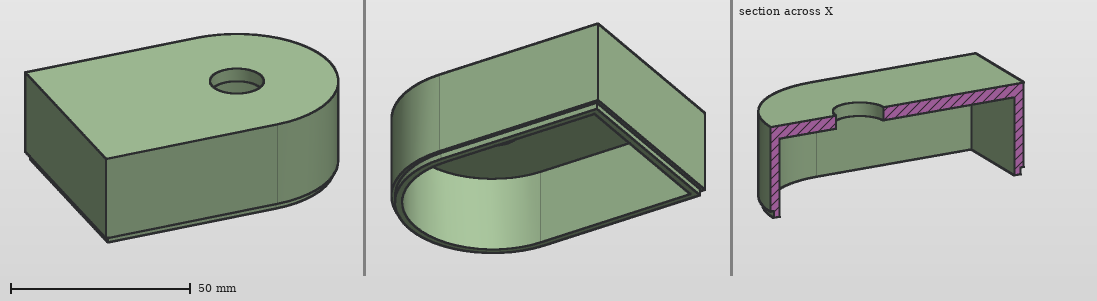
import cadquery as cq

width = 56.57
straight_length = 52.0
total_height = 27.0
lip_height = 2.0
lip_inset = 1.0
wall_thickness = 3.0
roof_thickness = 4.0
hole_diameter = 15.0

outer_radius = width / 2
cavity_height = total_height - roof_thickness


def rounded_end_block(inset, bottom, height):
    """Block with a flat -Y end and a semicircular +Y end, set in from the outer outline."""
    radius = outer_radius - inset
    flat_end = -(straight_length - inset)
    return (
        cq.Workplane("XY", origin=(0, 0, bottom))
        .moveTo(-radius, flat_end)
        .lineTo(radius, flat_end)
        .lineTo(radius, 0)
        .threePointArc((0, radius), (-radius, 0))
        .close()
        .extrude(height)
    )


body = rounded_end_block(0, lip_height, total_height - lip_height)
lip = rounded_end_block(lip_inset, 0, lip_height)

cavity = rounded_end_block(wall_thickness, 0, cavity_height)

roof_hole = cq.Workplane("XY").circle(hole_diameter / 2).extrude(total_height)

result = body.union(lip).cut(cavity).cut(roof_hole)